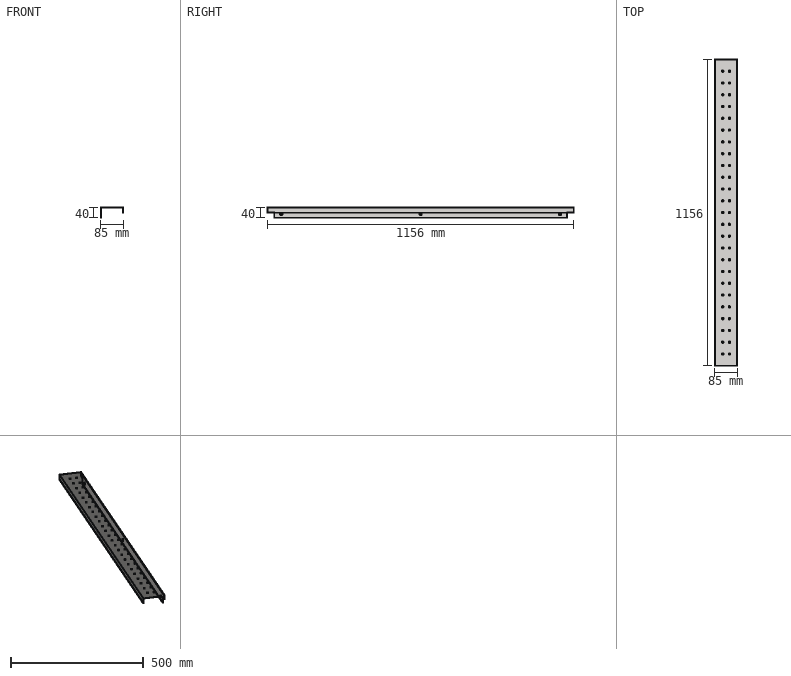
import cadquery as cq

length = 1156.0
width = 85.0
height = 40.0
sheet = 2.0
shallow_depth = 21.0

notch_length = 25.0
end_tab_depth = 15.0

hole_diameter = 5.0
hole_rows = 25
row_pitch = length / (hole_rows + 1)
column_spacing = 25.0

mounting_diameter = 8.5
mounting_depth = 25.0
mounting_end_distance = 52.0

half_width = width / 2
half_length = length / 2


def make_channel():
    """Folded sheet section, centred on X and Y, with its web on top."""
    profile = [
        (-half_width, 0),
        (-half_width, height),
        (half_width, height),
        (half_width, height - shallow_depth),
        (half_width - sheet, height - shallow_depth),
        (half_width - sheet, height - sheet),
        (-half_width + sheet, height - sheet),
        (-half_width + sheet, 0),
    ]
    section = cq.Workplane("XZ").polyline(profile).close()
    return section.extrude(half_length, both=True)


def make_end_notches():
    """Blocks that shorten the lower part of the deep flange."""
    return (
        cq.Workplane("XY")
        .pushPoints([(-half_width, -half_length), (-half_width, half_length)])
        .rect(4 * sheet, 2 * notch_length)
        .extrude(height - end_tab_depth)
    )


def make_web_holes():
    """Two columns of holes, evenly spaced along the web."""
    return (
        cq.Workplane("XY", origin=(0, 0, height - 2 * sheet))
        .rarray(column_spacing, row_pitch, 2, hole_rows)
        .circle(hole_diameter / 2)
        .extrude(3 * sheet)
    )


def make_mounting_holes():
    """Round holes near the ends and at the middle of the deep flange."""
    outer_hole = half_length - mounting_end_distance
    return (
        cq.Workplane("YZ", origin=(-half_width - sheet, 0, height - mounting_depth))
        .pushPoints([(-outer_hole, 0), (0, 0), (outer_hole, 0)])
        .circle(mounting_diameter / 2)
        .extrude(3 * sheet)
    )


result = (
    make_channel()
    .cut(make_end_notches())
    .cut(make_web_holes())
    .cut(make_mounting_holes())
)